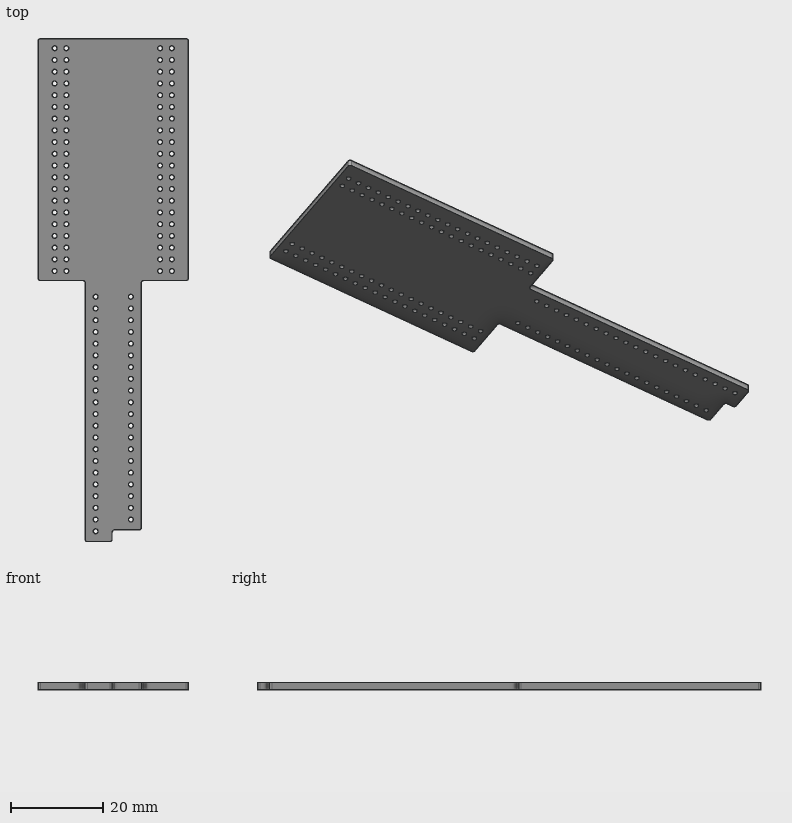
import cadquery as cq

total_length = 109.0
thickness = 1.6
corner_radius = 0.5

head_width = 32.6
head_length = 52.4
tail_width = 12.2

hole_diameter = 1.0
head_hole_rows = 20
head_hole_span = 48.3
pitch = head_hole_span / (head_hole_rows - 1)
head_column_span = 25.4
head_first_row_inset = 2.1
tail_column_span = 7.6
tail_first_row_drop = 3.5
tail_left_rows = 21
tail_right_rows = tail_left_rows - 1

notch_left_x = -0.2
notch_height = pitch

top_y = total_length / 2
bottom_y = -total_length / 2
shoulder_y = top_y - head_length


def board():
    """T-shaped plate with a notched tail end and every upright corner rounded."""
    outline = [
        (-head_width / 2, top_y),
        (head_width / 2, top_y),
        (head_width / 2, shoulder_y),
        (tail_width / 2, shoulder_y),
        (tail_width / 2, bottom_y + notch_height),
        (notch_left_x, bottom_y + notch_height),
        (notch_left_x, bottom_y),
        (-tail_width / 2, bottom_y),
        (-tail_width / 2, shoulder_y),
        (-head_width / 2, shoulder_y),
    ]
    plate = cq.Workplane("XY").polyline(outline).close().extrude(thickness)
    return plate.edges("|Z").fillet(corner_radius)


def hole_column(x, first_y, count):
    """Hole centres running from first_y toward -Y."""
    return [(x, first_y - row * pitch) for row in range(count)]


head_first_y = top_y - head_first_row_inset
tail_first_y = shoulder_y - tail_first_row_drop
head_outer_column_x = head_column_span / 2
head_inner_column_x = head_outer_column_x - pitch
tail_column_x = tail_column_span / 2

hole_centres = []
for column_x in (head_inner_column_x, head_outer_column_x):
    for side in (-1, 1):
        hole_centres += hole_column(side * column_x, head_first_y, head_hole_rows)
hole_centres += hole_column(-tail_column_x, tail_first_y, tail_left_rows)
hole_centres += hole_column(tail_column_x, tail_first_y, tail_right_rows)

result = board().faces(">Z").workplane(origin=(0, 0, 0)).pushPoints(hole_centres).hole(hole_diameter)